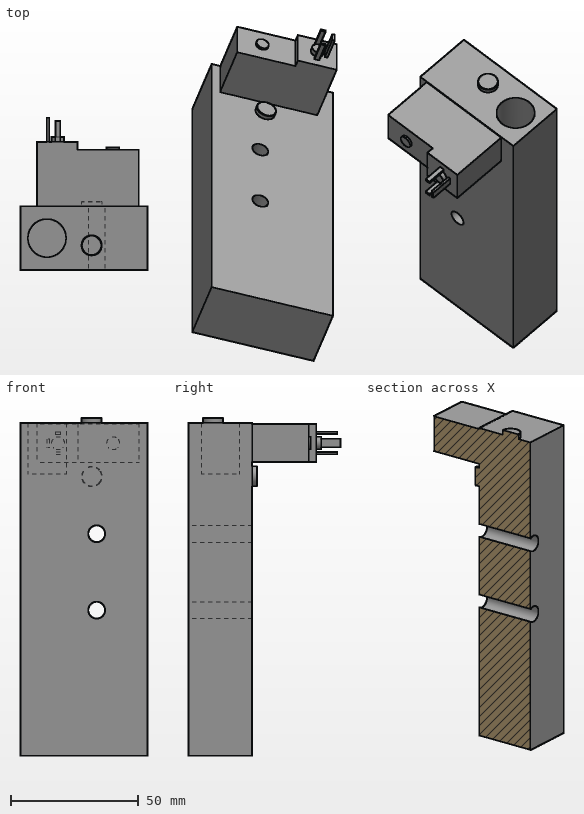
import cadquery as cq

overall_depth = 59.8
overall_height = 132.5

block_width = 50.0
block_depth = 25.0
block_height = 130.5

mount_diameter = 6.5
mount_x = 30.0
mount_lower_z = 57.1
mount_spacing = 30.0

port_diameter = 15.0
port_x = 10.5
port_y = block_depth / 2
port_depth = 19.9

button_diameter = 8.0
button_height = overall_height - block_height
button_chamfer = 0.2
button_x = 28.0
top_button_y = 9.7
back_button_z = block_height - 21.0

head_left = 6.5
head_width = 40.0
head_height = 15.0
head_depth = 25.2
head_step_width = 16.0
head_step_drop = 3.0
head_top_gap = 0.4
head_center_z = block_height - head_top_gap - head_height / 2
head_back_y = block_depth + head_depth

override_diameter = 5.0
override_height = 0.9
override_x = 36.3

stub_diameter = 5.0
stub_height = 2.0
connector_x = 14.7
contact_width = 2.0
contact_thickness = 0.9
contact_length = 8.2
contact_offset = 4.0
earth_x = 10.9
earth_thickness = 1.0
earth_height = 3.5
earth_length = overall_depth - head_back_y


def back_box(x, y, z, width, length, height):
    """Box centred on (x, z) that extends from y towards +Y."""
    return cq.Workplane("XY").box(width, length, height, centered=(True, False, True)).translate((x, y, z))


def back_cylinder(x, y, z, diameter, length):
    """Cylinder on the axis (x, z) that extends from y towards +Y."""
    return cq.Workplane("XZ", origin=(x, y, z)).circle(diameter / 2).extrude(-length)


def top_cylinder(x, y, z, diameter, length):
    """Vertical cylinder that extends from z by a signed length."""
    return cq.Workplane("XY", origin=(x, y, z)).circle(diameter / 2).extrude(length)


def make_block():
    block = cq.Workplane("XY").box(block_width, block_depth, block_height, centered=False)
    for z in (mount_lower_z, mount_lower_z + mount_spacing):
        block = block.cut(back_cylinder(mount_x, 0, z, mount_diameter, block_depth))
    block = block.cut(top_cylinder(port_x, port_y, block_height, port_diameter, -port_depth))
    top_button = top_cylinder(button_x, top_button_y, block_height, button_diameter, button_height)
    back_button = back_cylinder(button_x, block_depth, back_button_z, button_diameter, button_height)
    block = block.union(top_button.faces(">Z").chamfer(button_chamfer))
    return block.union(back_button.faces(">Y").chamfer(button_chamfer))


def make_head():
    step_y = head_back_y - head_step_drop
    head_right = head_left + head_width
    step_x = head_left + head_step_width
    outline = [
        (head_left, block_depth),
        (head_right, block_depth),
        (head_right, step_y),
        (step_x, step_y),
        (step_x, head_back_y),
        (head_left, head_back_y),
    ]
    head_bottom_z = head_center_z - head_height / 2
    head = cq.Workplane("XY", origin=(0, 0, head_bottom_z)).polyline(outline).close().extrude(head_height)
    return head.union(back_cylinder(override_x, step_y, head_center_z, override_diameter, override_height))


def make_connector():
    connector = back_cylinder(connector_x, head_back_y, head_center_z, stub_diameter, stub_height)
    for offset in (-contact_offset, contact_offset):
        contact_z = head_center_z + offset
        connector = connector.union(
            back_box(connector_x, head_back_y, contact_z, contact_width, contact_length, contact_thickness)
        )
    return connector.union(
        back_box(earth_x, head_back_y, head_center_z, earth_thickness, earth_length, earth_height)
    )


result = make_block().union(make_head()).union(make_connector())